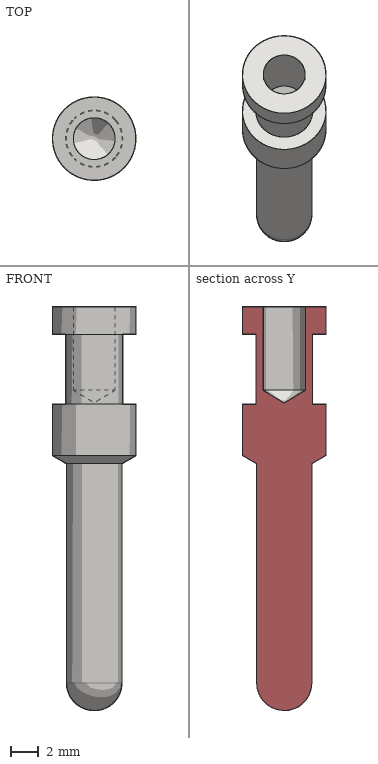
import cadquery as cq
import math

shaft_diameter = 4.0
neck_diameter = 4.1
collar_diameter = 6.0
bore_diameter = 3.0

neck_bottom_z = 22.0
head_bottom_z = 27.0
total_length = 29.0

collar_band_height = 3.7
shoulder_angle = 30.0

bore_depth = 6.0
drill_point_angle = 118.0

shaft_radius = shaft_diameter / 2
neck_radius = neck_diameter / 2
collar_radius = collar_diameter / 2
bore_radius = bore_diameter / 2

shoulder_height = (collar_radius - shaft_radius) * math.tan(math.radians(shoulder_angle))
shoulder_top_z = neck_bottom_z - collar_band_height
shoulder_bottom_z = shoulder_top_z - shoulder_height

bore_floor_z = total_length - bore_depth
drill_point_height = bore_radius / math.tan(math.radians(drill_point_angle / 2))


def revolve_about_z(profile):
    """Turn a closed XZ half-profile around the pin axis."""
    return profile.close().revolve(axisStart=(0, 0, 0), axisEnd=(0, 1, 0))


def make_pin():
    """Turned pin: hemispherical tip, shaft, collar, neck and head."""
    tip_arc_offset = shaft_radius / math.sqrt(2)
    profile = (
        cq.Workplane("XZ")
        .moveTo(0, 0)
        .threePointArc(
            (tip_arc_offset, shaft_radius - tip_arc_offset),
            (shaft_radius, shaft_radius),
        )
        .lineTo(shaft_radius, shoulder_bottom_z)
        .lineTo(collar_radius, shoulder_top_z)
        .lineTo(collar_radius, neck_bottom_z)
        .lineTo(neck_radius, neck_bottom_z)
        .lineTo(neck_radius, head_bottom_z)
        .lineTo(collar_radius, head_bottom_z)
        .lineTo(collar_radius, total_length)
        .lineTo(0, total_length)
    )
    return revolve_about_z(profile)


def make_bore():
    """Cutter for the blind bore and its conical floor."""
    profile = (
        cq.Workplane("XZ")
        .moveTo(0, bore_floor_z - drill_point_height)
        .lineTo(bore_radius, bore_floor_z)
        .lineTo(bore_radius, total_length)
        .lineTo(0, total_length)
    )
    return revolve_about_z(profile)


result = make_pin().cut(make_bore())